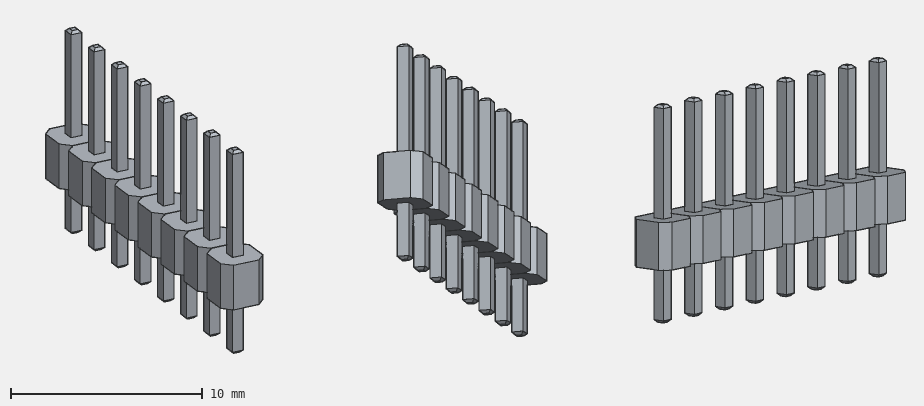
import cadquery as cq

module_count = 8
pitch = 2.54

block_width = 2.5
block_height = 2.54
block_corner_chamfer = 0.5

pin_width = 0.64
pin_length_above = 6.0
pin_length_below = 3.0
pin_tip_chamfer = 0.15


def make_block():
    """Square block with its four vertical corners cut, bottom face at Z = 0."""
    block = cq.Workplane("XY").rect(block_width, block_width).extrude(block_height)
    return block.edges("|Z").chamfer(block_corner_chamfer)


def make_pin():
    """Square pin with bevelled tips, reaching above and below the block."""
    pin_length = pin_length_below + block_height + pin_length_above
    pin = (
        cq.Workplane("XY")
        .workplane(offset=-pin_length_below)
        .rect(pin_width, pin_width)
        .extrude(pin_length)
    )
    return pin.faces("<Z or >Z").edges().chamfer(pin_tip_chamfer)


def make_header_module(x_position):
    """One block and its pin as a single solid, centred at the given X."""
    return make_block().union(make_pin()).translate((x_position, 0, 0))


first_module_x = -pitch * (module_count - 1) / 2
header_modules = [make_header_module(first_module_x + index * pitch) for index in range(module_count)]

result = cq.Compound.makeCompound([module.val() for module in header_modules])